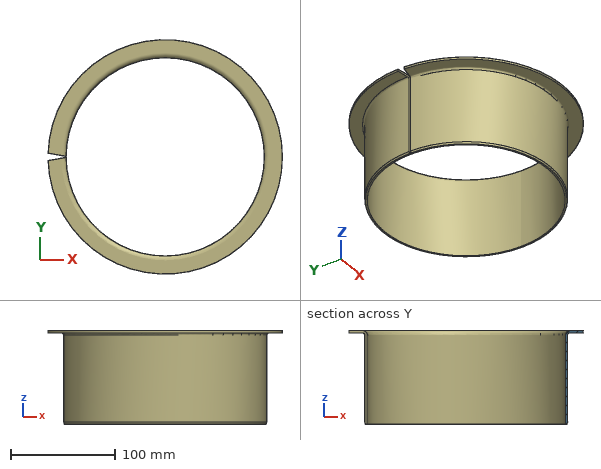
import cadquery as cq
import math

flange_radius = 112.5
height = 90.0
sleeve_outer_radius = 97.5
wall = 2.5
inner_bend_radius = 2.0
chamfer_height = 2.0
chamfer_width = 0.7
split_apex_radius = 93.0
split_rim_width = 7.0

sleeve_inner_radius = sleeve_outer_radius - wall
outer_bend_radius = inner_bend_radius + wall
bend_center_radius = sleeve_outer_radius + inner_bend_radius
flange_bottom = height - wall
bend_center_z = flange_bottom - inner_bend_radius
diagonal = math.sqrt(0.5)


def bend_midpoint(radius):
    """Middle of the quarter bend between the sleeve and the flange."""
    offset = radius * diagonal
    return bend_center_radius - offset, bend_center_z + offset


def flanged_sleeve():
    """Revolve the bent wall section (radius, height) about the Z axis."""
    return (
        cq.Workplane("XZ")
        .moveTo(sleeve_inner_radius, 0)
        .lineTo(sleeve_outer_radius - chamfer_width, 0)
        .lineTo(sleeve_outer_radius, chamfer_height)
        .lineTo(sleeve_outer_radius, bend_center_z)
        .threePointArc(bend_midpoint(inner_bend_radius), (bend_center_radius, flange_bottom))
        .lineTo(flange_radius, flange_bottom)
        .lineTo(flange_radius, height)
        .lineTo(bend_center_radius, height)
        .threePointArc(bend_midpoint(outer_bend_radius), (sleeve_inner_radius, bend_center_z))
        .close()
        .revolve(360, (0, 0), (0, 1))
    )


def split_wedge():
    """Full-height wedge on the -X side that splits the sleeve and opens toward the flange rim."""
    return (
        cq.Workplane("XY")
        .moveTo(-split_apex_radius, 0)
        .lineTo(-flange_radius, -split_rim_width / 2)
        .lineTo(-flange_radius, split_rim_width / 2)
        .close()
        .extrude(height)
    )


result = flanged_sleeve().cut(split_wedge())